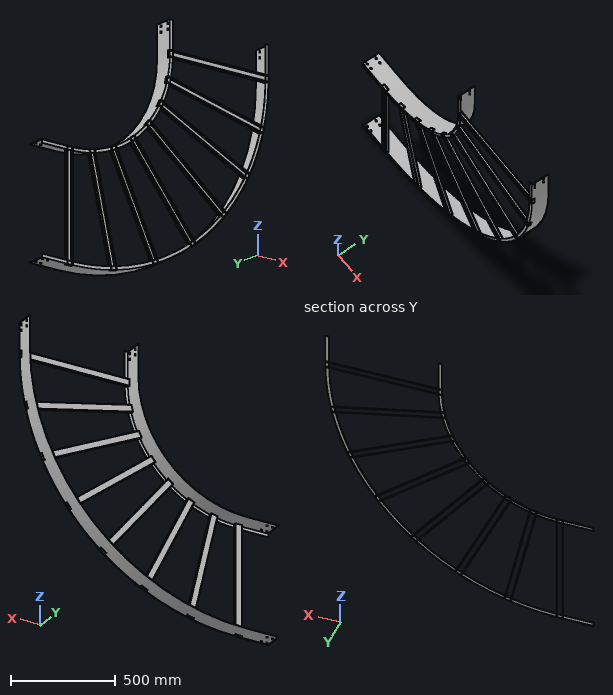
import cadquery as cq
import math

size = 1373.0
height = 100.0
arm = 172.0
thickness = 3.0
flange_width = 20.0

outer_radius = size - arm
inner_radius = outer_radius / 2

rung_count = 8
rung_pitch = 90 / (rung_count - 1)
rung_width = 37.0
rung_depth = 16.0
rung_thickness = 2.0
rung_lip = 5.0

slot_length = 10.0
slot_width = 5.0
slot_from_end = (16.0, 47.0)
slot_heights = (18.0, 70.0)

axis_x = arm
axis_z = size - arm


def rail_path(radius):
    """Straight arm, quarter bend and second straight arm at this radius."""
    diagonal = radius * math.sqrt(0.5)
    return (
        cq.Workplane("XZ")
        .moveTo(0, axis_z - radius)
        .lineTo(axis_x, axis_z - radius)
        .threePointArc((axis_x + diagonal, axis_z - diagonal), (axis_x + radius, axis_z))
        .lineTo(axis_x + radius, size)
    )


def rail(radius, flange_side):
    """L section whose web face lies at this radius; flange_side is +1 outwards, -1 inwards."""
    web_z = axis_z - radius

    def at(y, from_web):
        return (y, web_z - flange_side * from_web)

    bend_mid = thickness * (1 - math.sqrt(0.5))
    section = (
        cq.Workplane("YZ")
        .moveTo(*at(height, 0))
        .lineTo(*at(thickness, 0))
        .threePointArc(at(bend_mid, bend_mid), at(0, thickness))
        .lineTo(*at(0, flange_width))
        .lineTo(*at(thickness, flange_width))
        .lineTo(*at(thickness, thickness))
        .lineTo(*at(height, thickness))
        .close()
    )
    return section.sweep(rail_path(radius))


def bar(width, depth, length):
    """Bar along Z, centred on X = 0, from Y = 0 to Y = depth."""
    return cq.Workplane("XY").box(width, depth, length, centered=(True, False, False))


def rung(angle):
    """Lipped channel open towards -Y, resting on both flanges, turned about the bend axis.

    Each end reaches halfway into the web of its rail.
    """
    web_centre = thickness / 2
    length = outer_radius - inner_radius - 2 * web_centre
    start_z = axis_z - outer_radius + web_centre
    hollow_width = rung_width - 2 * rung_thickness
    hollow_depth = rung_depth - 2 * rung_thickness
    hollow = bar(hollow_width, hollow_depth, length).translate((0, rung_thickness, 0))
    mouth = bar(rung_width - 2 * rung_lip, rung_thickness, length)
    channel = bar(rung_width, rung_depth, length).cut(hollow).cut(mouth)
    placed = channel.translate((axis_x, thickness, start_z))
    return placed.rotate((axis_x, 0, axis_z), (axis_x, 1, axis_z), -angle)


def end_slots():
    """Slots through the webs of both rails at both ends."""
    centres = [(along, up) for along in slot_from_end for up in slot_heights]
    low_arms = (
        cq.Workplane("XY")
        .pushPoints(centres)
        .slot2D(slot_length, slot_width)
        .extrude(axis_z)
    )
    high_arms = (
        cq.Workplane("YZ", origin=(axis_x, 0, 0))
        .pushPoints([(up, size - along) for along, up in centres])
        .slot2D(slot_length, slot_width, 90)
        .extrude(axis_z)
    )
    return low_arms.union(high_arms)


result = rail(inner_radius, 1).union(rail(outer_radius, -1)).cut(end_slots())
for i in range(rung_count):
    result = result.union(rung(i * rung_pitch))